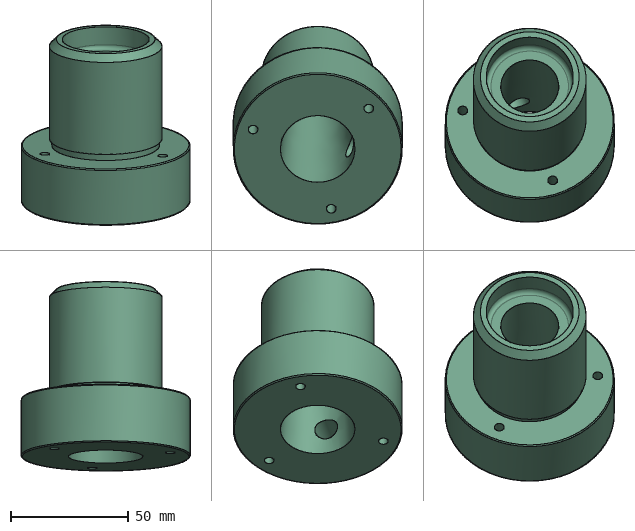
import cadquery as cq

total_height = 72.0

flange_diameter = 72.0
flange_height = 25.05
flange_chamfer = 0.5

spigot_diameter = 48.0
spigot_chamfer = 3.0
groove_diameter = 46.0
groove_height = 2.95

bore_top_diameter = 24.6
bore_bottom_diameter = 31.7
seat_diameter = 37.0
seat_depth = 10.0
seat_fillet = 2.0

hole_count = 3
hole_diameter = 4.0
hole_circle_radius = 29.0
first_hole_angle = -90.0

port_diameter = 10.0
port_height = flange_height / 2


def make_flange():
    flange = cq.Workplane("XY").circle(flange_diameter / 2).extrude(flange_height)
    return flange.faces("<Z or >Z").edges().chamfer(flange_chamfer)


def make_spigot():
    groove = (
        cq.Workplane("XY")
        .workplane(offset=flange_height)
        .circle(groove_diameter / 2)
        .extrude(groove_height)
    )
    spigot_base = flange_height + groove_height
    spigot = (
        cq.Workplane("XY")
        .workplane(offset=spigot_base)
        .circle(spigot_diameter / 2)
        .extrude(total_height - spigot_base)
        .faces(">Z")
        .edges()
        .chamfer(spigot_chamfer)
    )
    return groove.union(spigot)


def make_bore():
    seat_floor = total_height - seat_depth
    taper = (
        cq.Workplane("XY")
        .circle(bore_bottom_diameter / 2)
        .workplane(offset=seat_floor)
        .circle(bore_top_diameter / 2)
        .loft()
    )
    seat = (
        cq.Workplane("XY")
        .workplane(offset=seat_floor)
        .circle(seat_diameter / 2)
        .extrude(seat_depth)
        .faces("<Z")
        .edges()
        .fillet(seat_fillet)
    )
    return taper.union(seat)


def make_flange_holes():
    return (
        cq.Workplane("XY")
        .polarArray(hole_circle_radius, first_hole_angle, 360, hole_count)
        .circle(hole_diameter / 2)
        .extrude(flange_height)
    )


def make_port():
    return (
        cq.Workplane("XZ")
        .center(0, port_height)
        .circle(port_diameter / 2)
        .extrude(-flange_diameter / 2)
    )


body = make_flange().union(make_spigot())
result = body.cut(make_bore()).cut(make_flange_holes()).cut(make_port())